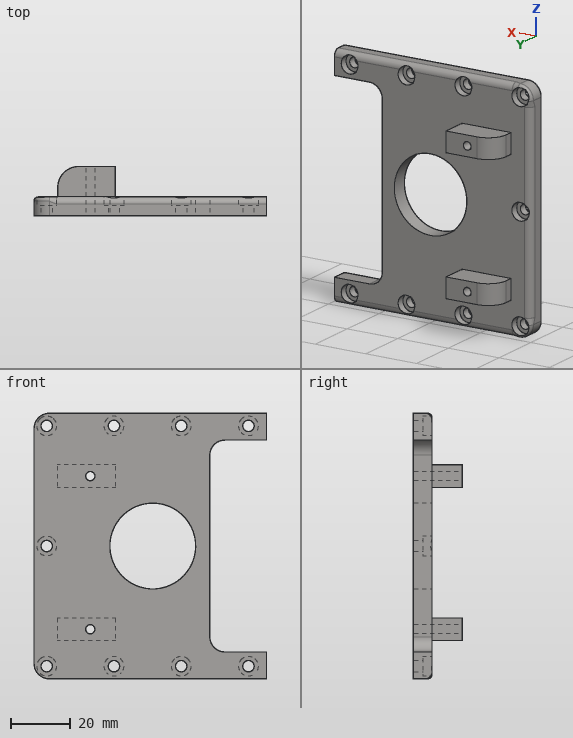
import cadquery as cq
import math

length = 77.8
height = 88.9
thickness = 6.4
corner_radius = 5.2

edge_round = 2.5
corner_round = 1.5
blend_length = 2.3

notch_x = 58.85
notch_height = 70.8
notch_radius = 5.0

bore_x = 39.7
bore_diameter = 28.6

screw_inset = 4.3
screw_pitch = 22.5
screw_columns = 4
screw_diameter = 3.7
head_diameter = 6.6
head_depth = 3.0

lug_start_x = 7.9
lug_end_x = 27.2
lug_width = 7.65
lug_radius = 7.1
lug_centre_z = -2.2
lug_spacing = 51.2
total_depth = 16.5
lug_hole_x = 18.85
lug_hole_diameter = 3.0

overshoot = 0.2


def box(x_start, x_end, depth, z_size):
    """Box standing on y = 0 and centred on z = 0."""
    block = cq.Workplane("XY").box(x_end - x_start, depth, z_size, centered=(False, False, True))
    return block.translate((x_start, 0, 0))


def cylinder(x, z, diameter, y_start, y_end):
    """Cylinder along Y."""
    direction = cq.Vector(0, 1, 0)
    solid = cq.Solid.makeCylinder(diameter / 2, y_end - y_start, cq.Vector(x, y_start, z), direction)
    return cq.Workplane(obj=solid)


def make_plate():
    plate = box(0, length, thickness, height).edges("|Y and <X").fillet(corner_radius)
    plate = plate.faces(">Y").edges("not >X").fillet(corner_round)
    notch = box(notch_x, length + notch_radius, thickness, notch_height)
    return plate.cut(notch.edges("|Y and <X").fillet(notch_radius))


def rounding_profile(position, radius):
    """Waste outside a rounded edge, on a plane across X, for an edge on the top side."""
    edge_z = height / 2
    centre_y = thickness - radius
    centre_z = edge_z - radius
    diagonal = radius * math.sqrt(0.5)
    return (
        cq.Workplane("YZ", origin=(position, 0, 0))
        .moveTo(centre_y, edge_z)
        .threePointArc((centre_y + diagonal, centre_z + diagonal), (thickness, centre_z))
        .lineTo(thickness + overshoot, centre_z)
        .lineTo(thickness + overshoot, edge_z + overshoot)
        .lineTo(centre_y, edge_z + overshoot)
        .close()
    )


def rounding_cutter(start, end):
    """Edge waste along X between start and end."""
    return rounding_profile(start, edge_round).extrude(end - start)


def blend_cutter(start, end):
    """Edge waste growing from the corner rounding at start to the full rounding at end."""
    wires = [
        rounding_profile(start, corner_round).wires().val(),
        rounding_profile(end, edge_round).wires().val(),
    ]
    return cq.Workplane(obj=cq.Solid.makeLoft(wires, True))


def round_edges(plate):
    full_start = corner_radius + blend_length
    blend = blend_cutter(corner_radius, full_start)
    top = rounding_cutter(full_start, length + overshoot).union(blend)
    left_half = rounding_cutter(full_start, height / 2 + overshoot).union(blend)
    left_half = left_half.rotate((0, 0, 0), (0, 1, 0), -90).translate((height / 2, 0, -height / 2))
    for cutter in (top, left_half):
        plate = plate.cut(cutter).cut(cutter.mirror("XY"))
    return plate


def make_lug(z):
    lug = box(lug_start_x, lug_end_x, total_depth, lug_width)
    return lug.edges("|Z and <X and >Y").fillet(lug_radius).translate((0, 0, z))


def cut_screw_hole(body, x, z):
    hole = cylinder(x, z, screw_diameter, 0, thickness)
    head = cylinder(x, z, head_diameter, thickness - head_depth, thickness)
    return body.cut(hole).cut(head)


result = round_edges(make_plate())
result = result.cut(cylinder(bore_x, 0, bore_diameter, 0, thickness))

screw_row_z = height / 2 - screw_inset
screw_positions = [(screw_inset, 0)]
for column in range(screw_columns):
    for row_z in (-screw_row_z, screw_row_z):
        screw_positions.append((screw_inset + column * screw_pitch, row_z))
for screw_x, screw_z in screw_positions:
    result = cut_screw_hole(result, screw_x, screw_z)

for lug_z in (lug_centre_z - lug_spacing / 2, lug_centre_z + lug_spacing / 2):
    result = result.union(make_lug(lug_z))
    result = result.cut(cylinder(lug_hole_x, lug_z, lug_hole_diameter, 0, total_depth))